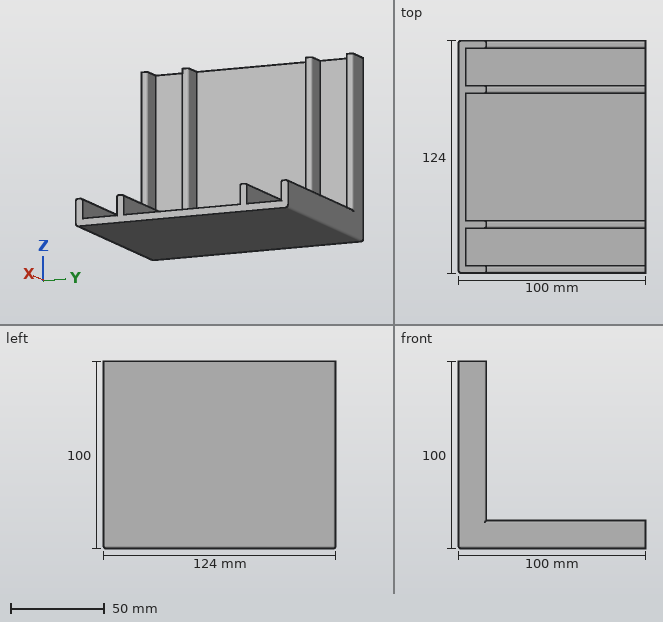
import cadquery as cq

leg_length = 100.0
width = 124.0
plate_thickness = 4.0
rib_thickness = 4.0
leg_depth = 15.0
inner_rib_offset = 36.0
outer_edge_radius = 1.5
rib_crest_radius = 1.2

outer_rib_offset = (width - rib_thickness) / 2
rib_offsets = (-outer_rib_offset, -inner_rib_offset, inner_rib_offset, outer_rib_offset)


def angle_section(thickness, section_width, center_y):
    """L-shaped solid, extruded along Y and centred on center_y."""
    outline = [
        (0, 0),
        (leg_length, 0),
        (leg_length, thickness),
        (thickness, thickness),
        (thickness, leg_length),
        (0, leg_length),
    ]
    section = cq.Workplane("XZ").polyline(outline).close()
    return section.extrude(section_width / 2, both=True).translate((0, center_y, 0))


def rib(center_y):
    """L-shaped rib with both edges of its crests rounded."""
    body = angle_section(leg_depth, rib_thickness, center_y)
    crest_faces = body.faces(">X[-2] or >Z[-2]")
    return crest_faces.edges("|X or |Z").fillet(rib_crest_radius)


def bracket():
    """Plates and ribs in one solid, with the edges of the outer faces rounded."""
    body = angle_section(plate_thickness, width, 0)
    for offset in rib_offsets:
        body = body.union(rib(offset))
    outer_faces = body.faces("<X or <Z")
    outer_corner = outer_faces.edges("<X and <Z")
    return outer_faces.edges("|X or |Z").add(outer_corner).fillet(outer_edge_radius)


result = bracket()